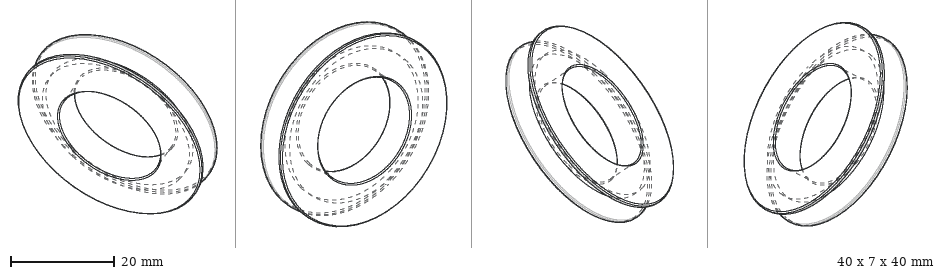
import cadquery as cq
import math

outer_diameter = 40.0
groove_floor_diameter = 32.0
bore_diameter = 22.0
width = 7.0

groove_floor_width = 1.5
rim_width = 0.9
edge_chamfer = 0.3
mouth_radius = 0.3

outer_radius = outer_diameter / 2
floor_radius = groove_floor_diameter / 2
bore_radius = bore_diameter / 2
half_width = width / 2
half_floor = groove_floor_width / 2
half_mouth = half_width - rim_width

wall_angle = math.atan2(outer_radius - floor_radius, half_mouth - half_floor)
tangent_length = mouth_radius * math.tan(wall_angle / 2)
round_center_radius = outer_radius - mouth_radius
rim_end = half_mouth + tangent_length
wall_end_radius = outer_radius - tangent_length * math.sin(wall_angle)
wall_end = half_mouth - tangent_length * math.cos(wall_angle)
round_middle_radius = round_center_radius + mouth_radius * math.cos(wall_angle / 2)
round_middle = rim_end - mouth_radius * math.sin(wall_angle / 2)


def make_ring():
    """Turn the radius-by-Y section once around the Y axis."""
    section = (
        cq.Workplane("XY")
        .moveTo(bore_radius, -half_width + edge_chamfer)
        .lineTo(bore_radius + edge_chamfer, -half_width)
        .lineTo(outer_radius - edge_chamfer, -half_width)
        .lineTo(outer_radius, -half_width + edge_chamfer)
        .lineTo(outer_radius, -rim_end)
        .threePointArc((round_middle_radius, -round_middle), (wall_end_radius, -wall_end))
        .lineTo(floor_radius, -half_floor)
        .lineTo(floor_radius, half_floor)
        .lineTo(wall_end_radius, wall_end)
        .threePointArc((round_middle_radius, round_middle), (outer_radius, rim_end))
        .lineTo(outer_radius, half_width - edge_chamfer)
        .lineTo(outer_radius - edge_chamfer, half_width)
        .lineTo(bore_radius + edge_chamfer, half_width)
        .lineTo(bore_radius, half_width - edge_chamfer)
        .close()
    )
    return section.revolve(360, (0, 0, 0), (0, 1, 0))


result = make_ring()